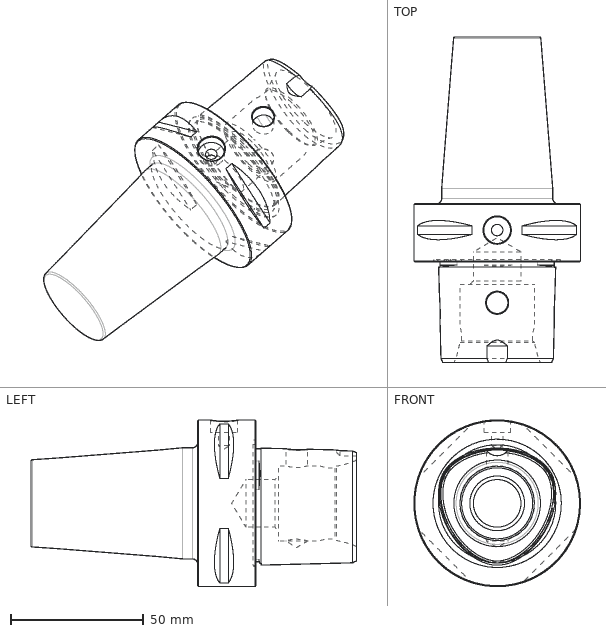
import cadquery as cq
import math


overall_length = 123

flange_radius = 31.5
flange_width = 22.0
flange_edge_chamfer = 0.4

nose_length = 63.0
nose_tip_radius = 16.5
nose_root_radius = 21.0
nose_root_length = 5.7
nose_root_fillet = 2.0
nose_tip_fillet = 0.6

shank_length = overall_length - nose_length - flange_width
lobe_height = 1.2
shank_mean_radius = 22.1
taper_per_length = 1 / 40
shank_chamfer_length = 1.6
shank_chamfer_depth = 0.7
outline_points = 72

neck_length = 2.0
neck_mean_radius = 21.6
neck_lobe_height = 1.0
neck_lobe_radius = 22.1
neck_cone_length = 0.9
groove_width = 2.1

mouth_radius = 16.4
mouth_depth = 1.8
taper_mouth_radius = 15.5
taper_end_radius = 14.0
taper_depth = 7.6
lip_radius = 13.4
lip_start_depth = 8.2
lip_end_depth = 11.1
chamber_radius = 14.1
chamber_start_depth = 14.1
chamber_end_depth = 29.5
core_radius = 10.3
core_end_radius = 9.0
core_depth = 41.8
core_chamfer = core_radius - core_end_radius
core_tip_angle = 118

hole_rim_chamfer = 0.31

notch_count = 4
notch_plane = 12.0
notch_floor_distance = 27.9
notch_floor_width = 3.2
notch_wall_angle = 30

coolant_radius = 5.0
coolant_depth = 4.8
coolant_pilot_radius = 2.15
coolant_pilot_depth = 4.9

index_hole_distance = 22.6
index_hole_radius = 4.0
index_hole_floor = -14.3
drill_tip_angle = 118

keyway_length = 6.3
keyway_radius = 4.9
keyway_bottom = 18.0


def lobe_outline(mean_radius, height):
    """X, Z points of a three-lobed curve of constant width with one lobe at -Z."""
    points = []
    for i in range(outline_points):
        a = 2 * math.pi * i / outline_points
        reach = mean_radius + height * math.cos(3 * a)
        slope = -3 * height * math.sin(3 * a)
        x = reach * math.sin(a) + slope * math.cos(a)
        z = slope * math.sin(a) - reach * math.cos(a)
        points.append((x, z))
    return points


def lobe_solid(y_start, radius_start, y_end, radius_end, height=lobe_height):
    """Three-lobed solid between two places on the axis, y_start being nearer the nose."""
    return (
        cq.Workplane("XZ", origin=(0, y_start, 0))
        .spline(lobe_outline(radius_start, height), periodic=True)
        .close()
        .workplane(offset=y_start - y_end)
        .spline(lobe_outline(radius_end, height), periodic=True)
        .close()
        .loft(ruled=True, combine=True)
    )


def turned(profile):
    """Solid of revolution about Y from a profile drawn in X (radius) and Y."""
    return profile.close().revolve(360, (0, 0, 0), (0, 1, 0))


def tip_length(radius, angle):
    """Length of the cone left by a drill of the given radius and full tip angle."""
    return radius / math.tan(math.radians(angle / 2))


def make_flange():
    outer = cq.Workplane("XZ").circle(flange_radius).extrude(-flange_width)
    return outer.faces("<Y or >Y").chamfer(flange_edge_chamfer)


def make_nose():
    """Tapered nose on a short straight root that flares into the flange."""
    tip = flange_width + nose_length
    flare_radius = nose_root_radius + nose_root_fillet
    flare_end = flange_width + nose_root_fillet
    bend = nose_root_fillet * math.sqrt(0.5)
    nose = turned(
        cq.Workplane("XY")
        .moveTo(0, flange_width)
        .lineTo(flare_radius, flange_width)
        .threePointArc((flare_radius - bend, flare_end - bend), (nose_root_radius, flare_end))
        .lineTo(nose_root_radius, flange_width + nose_root_length)
        .lineTo(nose_tip_radius, tip)
        .lineTo(0, tip)
    )
    return nose.faces(">Y").edges().fillet(nose_tip_fillet)


def make_shank():
    chamfer_start = -shank_length + shank_chamfer_length
    small_radius = shank_mean_radius + (chamfer_start + neck_length) * taper_per_length
    body = lobe_solid(-neck_length, shank_mean_radius, chamfer_start, small_radius)
    end = lobe_solid(chamfer_start, small_radius, -shank_length, small_radius - shank_chamfer_depth)
    return body.union(end)


def make_neck():
    """Three-lobed neck whose lobe tips are turned down to a circle."""
    lobes = lobe_solid(0, neck_mean_radius, -neck_length, neck_mean_radius, neck_lobe_height)
    lobe_limit = turned(
        cq.Workplane("XY")
        .lineTo(neck_lobe_radius, 0)
        .lineTo(neck_lobe_radius, neck_cone_length - neck_length)
        .lineTo(shank_mean_radius + lobe_height, -neck_length)
        .lineTo(0, -neck_length)
    )
    return lobes.intersect(lobe_limit)


def make_seat_groove():
    """Round-bottomed ring groove in the flange seat, just outside the neck."""
    groove_depth = groove_width / 2
    groove_outer_radius = neck_lobe_radius + groove_width
    return turned(
        cq.Workplane("XY")
        .moveTo(neck_lobe_radius, 0)
        .threePointArc((neck_lobe_radius + groove_depth, groove_depth), (groove_outer_radius, 0))
    )


def make_bore():
    front = -shank_length
    core_end = front + core_depth
    return turned(
        cq.Workplane("XY")
        .moveTo(0, front)
        .lineTo(mouth_radius, front)
        .lineTo(taper_mouth_radius, front + mouth_depth)
        .lineTo(taper_end_radius, front + taper_depth)
        .lineTo(lip_radius, front + lip_start_depth)
        .lineTo(lip_radius, front + lip_end_depth)
        .lineTo(chamber_radius, front + chamber_start_depth)
        .lineTo(chamber_radius, front + chamber_end_depth)
        .lineTo(core_radius, front + chamber_end_depth)
        .lineTo(core_end_radius, front + chamber_end_depth + core_chamfer)
        .lineTo(core_end_radius, core_end)
        .lineTo(0, core_end + tip_length(core_end_radius, core_tip_angle))
    )


def make_notches():
    """V-sided, flat-bottomed notches spaced evenly, halfway between X and Z."""
    depth = flange_radius - notch_floor_distance
    floor_half = notch_floor_width / 2
    top_half = floor_half + depth * math.tan(math.radians(notch_wall_angle))
    notch = (
        cq.Workplane("YZ")
        .polyline([
            (notch_plane - floor_half, notch_floor_distance),
            (notch_plane + floor_half, notch_floor_distance),
            (notch_plane + top_half, flange_radius),
            (notch_plane - top_half, flange_radius),
        ])
        .close()
        .extrude(flange_radius, both=True)
    )
    notches = cq.Workplane("XY")
    pitch = 360 / notch_count
    for i in range(notch_count):
        notches = notches.add(notch.rotate((0, 0, 0), (0, 1, 0), (i + 0.5) * pitch))
    return notches.combine()


def drilled_hole(y, top, radius, floor):
    """Drill cut along -Z, ending in the cone left by the drill tip."""
    profile = (
        cq.Workplane("XZ")
        .moveTo(0, top)
        .lineTo(radius, top)
        .lineTo(radius, floor)
        .lineTo(0, floor - tip_length(radius, drill_tip_angle))
        .close()
    )
    return profile.revolve(360, (0, 0, 0), (0, 1, 0)).translate((0, y, 0))


def make_coolant_hole():
    floor = flange_radius - coolant_depth
    counterbore = (
        cq.Workplane("XY", origin=(0, notch_plane, floor)).circle(coolant_radius).extrude(coolant_depth)
    )
    pilot = drilled_hole(notch_plane, floor, coolant_pilot_radius, floor - coolant_pilot_depth)
    return counterbore.union(pilot)


def make_keyway():
    """Round cut along Y with a conical inner end."""
    front = -shank_length
    axis_height = keyway_bottom + keyway_radius
    end = front + keyway_length
    cutter = turned(
        cq.Workplane("XY")
        .moveTo(0, front)
        .lineTo(keyway_radius, front)
        .lineTo(keyway_radius, end)
        .lineTo(0, end + keyway_radius)
    )
    return cutter.translate((0, 0, axis_height))


def chamfer_rim(part, y, radius, low):
    """Break the outer rim of a radial hole at y, looking only above the height low."""
    reach = radius + hole_rim_chamfer
    box = cq.selectors.BoxSelector((-reach, y - reach, low), (reach, y + reach, flange_radius))
    return part.edges(box).chamfer(hole_rim_chamfer)


index_hole_y = index_hole_distance - shank_length
index_hole = drilled_hole(index_hole_y, flange_radius, index_hole_radius, index_hole_floor)

body = make_flange().cut(make_seat_groove())
body = body.union(make_neck()).union(make_shank()).union(make_nose())
body = body.cut(make_bore()).cut(make_notches())
body = body.cut(make_coolant_hole()).cut(index_hole).cut(make_keyway())

coolant_floor = flange_radius - coolant_depth
body = chamfer_rim(body, notch_plane, coolant_radius, (flange_radius + coolant_floor) / 2)
result = chamfer_rim(body, index_hole_y, index_hole_radius, (chamber_radius + shank_mean_radius) / 2)